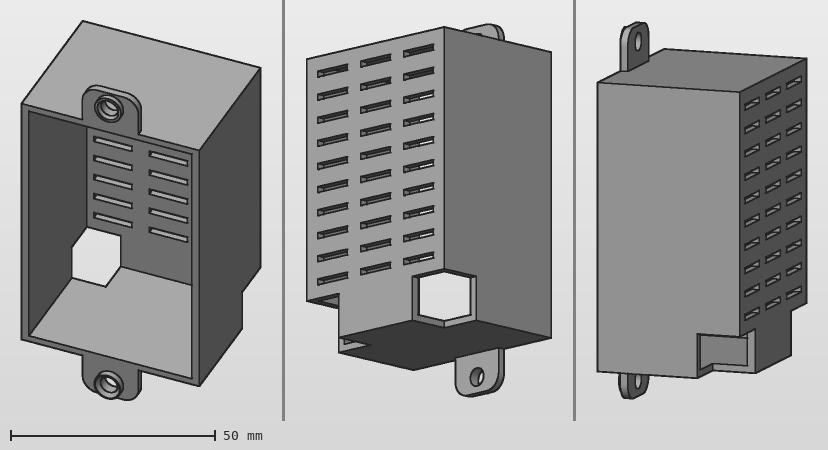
import cadquery as cq

box_width = 47.5
box_depth = 37.0
box_height = 71.8
side_wall = 2.0
end_wall = 1.75
back_wall = 2.0

corner_cut = 11.0

slot_columns = 3
slot_rows = 10
slot_length = 10.1
slot_height = 1.5
column_pitch = 14.8
row_pitch = 5.8
top_row_z = 31.5

overall_height = 92.0
tab_width = 14.9
tab_thickness = 1.9
tab_corner_radius = 4.05
tab_length = (overall_height - box_height) / 2

boss_diameter = 7.0
hole_diameter = 4.5
boss_edge_distance = 4.05
boss_z = overall_height / 2 - boss_edge_distance
mouth_depth = 1.0
top_boss_height = 1.5
top_mouth_diameter = 5.6
bottom_boss_height = 1.8
bottom_mouth_diameter = 6.5


def block(width, depth, height, x, y, z):
    """Box centred on x and z, reaching from y towards +Y."""
    return cq.Workplane("XY").box(width, depth, height, centered=(True, False, True)).translate((x, y, z))


def cylinder(diameter, y_start, length, z):
    """Cylinder along +Y, centred on X = 0."""
    axis_start = cq.Vector(0, y_start, z)
    return cq.Workplane(cq.Solid.makeCylinder(diameter / 2, length, axis_start, cq.Vector(0, 1, 0)))


def cone(start_diameter, end_diameter, y_start, length, z):
    """Truncated cone along +Y, centred on X = 0."""
    axis_start = cq.Vector(0, y_start, z)
    frustum = cq.Solid.makeCone(start_diameter / 2, end_diameter / 2, length, axis_start, cq.Vector(0, 1, 0))
    return cq.Workplane(frustum)


def make_box():
    shell = block(box_width, box_depth, box_height, 0, 0, 0)
    cavity_width = box_width - 2 * side_wall
    cavity_depth = box_depth - back_wall
    cavity_height = box_height - 2 * end_wall
    cavity = block(cavity_width, cavity_depth, cavity_height, 0, 0, 0)
    return shell.cut(cavity)


def cut_corners(body):
    cut_x = (box_width - corner_cut) / 2
    cut_z = (corner_cut - box_height) / 2
    for x in (-cut_x, cut_x):
        body = body.cut(block(corner_cut, corner_cut, corner_cut, x, box_depth - corner_cut, cut_z))
    return body


def cut_slots(body):
    for column in range(slot_columns):
        x = (column - (slot_columns - 1) / 2) * column_pitch
        for row in range(slot_rows):
            z = top_row_z - row * row_pitch
            body = body.cut(block(slot_length, back_wall, slot_height, x, box_depth - back_wall, z))
    return body


def add_tab(body, side, boss_height, mouth_diameter):
    """Add the tab and boss at the top (side = 1) or bottom (side = -1)."""
    tab_height = tab_length + end_wall
    tab_z = side * (overall_height - tab_height) / 2
    outer_corners = "|Y and >Z" if side > 0 else "|Y and <Z"
    tab = block(tab_width, tab_thickness, tab_height, 0, 0, tab_z)
    tab = tab.edges(outer_corners).fillet(tab_corner_radius)

    z = side * boss_z
    boss = cylinder(boss_diameter, -boss_height, boss_height, z)
    hole = cylinder(hole_diameter, -boss_height, boss_height + tab_thickness, z)
    mouth = cone(mouth_diameter, hole_diameter, -boss_height, mouth_depth, z)
    return body.union(tab).union(boss).cut(hole).cut(mouth)


result = make_box()
result = cut_corners(result)
result = cut_slots(result)
result = add_tab(result, 1, top_boss_height, top_mouth_diameter)
result = add_tab(result, -1, bottom_boss_height, bottom_mouth_diameter)